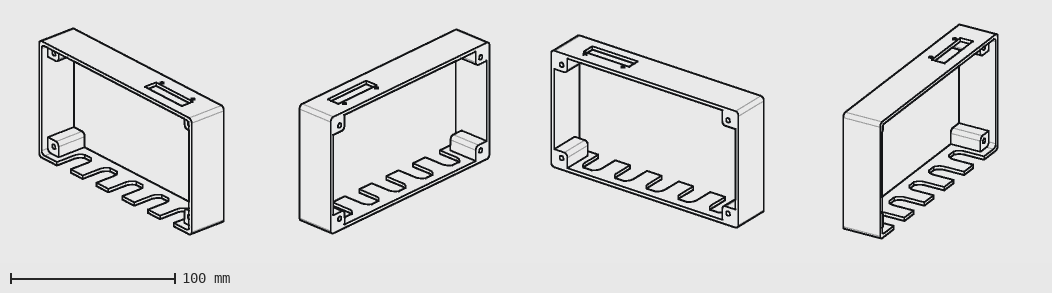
import cadquery as cq
import math

LENGTH = 142.2
DEPTH = 26.0
HEIGHT = 79.5
WALL = 2.4
CORNER_RADIUS = 2.5
BACK_Y = DEPTH / 2
FRONT_Y = -DEPTH / 2

BOSS_REACH = 12.4
BOSS_LENGTH = 21.0
BOSS_RADIUS = 2.5
SCREW_INSET = 8.0
SCREW_DIAMETER = 3.0

SLOT_COUNT = 5
SLOT_PITCH = 24.0
SLOT_WIDTH = 12.8
SLOT_END_FLAT = 6.0
SLOT_END_MARGIN = 6.7

WINDOW_LENGTH = 34.4
WINDOW_WIDTH = 9.0
WINDOW_X = 36.4
WINDOW_Y = -1.3
FIXING_DIAMETER = 2.3
FIXING_SPACING = 28.9
FIXING_Y = 5.5


def make_frame():
    outer = cq.Workplane("XY").box(LENGTH, DEPTH, HEIGHT).edges("|Y").fillet(CORNER_RADIUS)
    opening = cq.Workplane("XY").box(LENGTH - 2 * WALL, DEPTH, HEIGHT - 2 * WALL)
    return outer.cut(opening.edges("|Y").fillet(CORNER_RADIUS))


def make_boss(side_x, side_z):
    """Boss in one corner, overlapping the walls by half their thickness."""
    overlap = WALL / 2
    size = BOSS_REACH - overlap
    inset = overlap + size / 2
    boss = cq.Workplane("XY").box(size, BOSS_LENGTH, size)
    inner_edge = "|Y and {}X and {}Z".format("<" if side_x > 0 else ">", "<" if side_z > 0 else ">")
    boss = boss.edges(inner_edge).fillet(BOSS_RADIUS)
    return boss.translate((
        side_x * (LENGTH / 2 - inset),
        BACK_Y - BOSS_LENGTH / 2,
        side_z * (HEIGHT / 2 - inset),
    ))


def make_slot(x):
    """Cutter for one slot, open at the front edge of the bottom wall."""
    radius = SLOT_WIDTH / 2
    half_flat = SLOT_END_FLAT / 2
    end_y = BACK_Y - SLOT_END_MARGIN
    centre_y = end_y - math.sqrt(radius**2 - half_flat**2)
    middle_angle = math.atan2(end_y - centre_y, half_flat) / 2
    middle_x = radius * math.cos(middle_angle)
    middle_y = centre_y + radius * math.sin(middle_angle)
    return (
        cq.Workplane("XY", origin=(x, 0, -HEIGHT / 2))
        .moveTo(-radius, FRONT_Y)
        .lineTo(-radius, centre_y)
        .threePointArc((-middle_x, middle_y), (-half_flat, end_y))
        .lineTo(half_flat, end_y)
        .threePointArc((middle_x, middle_y), (radius, centre_y))
        .lineTo(radius, FRONT_Y)
        .close()
        .extrude(WALL)
    )


result = make_frame()
for side_x in (-1, 1):
    for side_z in (-1, 1):
        result = result.union(make_boss(side_x, side_z))

screw_holes = (
    cq.Workplane("XZ", origin=(0, BACK_Y, 0))
    .rect(LENGTH - 2 * SCREW_INSET, HEIGHT - 2 * SCREW_INSET, forConstruction=True)
    .vertices()
    .circle(SCREW_DIAMETER / 2)
    .extrude(DEPTH)
)
result = result.cut(screw_holes)

for index in range(SLOT_COUNT):
    result = result.cut(make_slot((index - (SLOT_COUNT - 1) / 2) * SLOT_PITCH))

top_wall = cq.Workplane("XY", origin=(WINDOW_X, 0, HEIGHT / 2))
window = top_wall.pushPoints([(0, WINDOW_Y)]).rect(WINDOW_LENGTH, WINDOW_WIDTH).extrude(-WALL)
fixing_points = [(side * FIXING_SPACING / 2, FIXING_Y) for side in (-1, 1)]
fixings = top_wall.pushPoints(fixing_points).circle(FIXING_DIAMETER / 2).extrude(-WALL)
result = result.cut(window).cut(fixings)